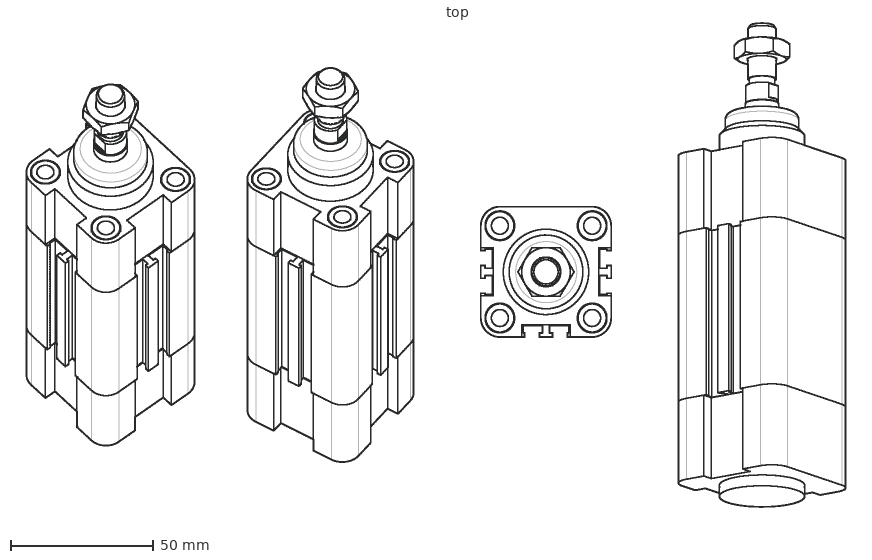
import cadquery as cq
import math


overall_height = 171.0
spigot_height = 4.0
rear_cap_top = 33.3
barrel_top = 94.0
front_cap_top = 123.0
cone_bottom = 131.0
cone_top = 133.2
collar_top = 139.0
rod_step = 142.6
flats_bottom = 143.8
rod_shoulder = 149.1
thread_bottom = 151.7
nut_bottom = 158.9

section_side = 46.0
corner_radius = 6.8

boss_diameter = 30.1
neck_diameter = 26.0
neck_fillet = 2.2
cap_channel_width = 17.0
cap_channel_depth = 4.5

hole_spacing = 32.5
hole_diameter = 6.0
hole_depth = 17.1
drill_point_angle = 118.0
groove_outer_diameter = 10.5
groove_inner_diameter = 10.0
groove_depth = 1.7

slot_width = 15.9
slot_depth = 4.1
slot_opening = 15.0
lip_thickness = 1.5
rib_web_width = 2.5
rib_head_width = 4.6

rod_diameter = 12.0
flatted_diameter = 11.5
flats_width = 10.0
undercut_diameter = 9.0
thread_diameter = 10.0
thread_tip_diameter = 8.5
thread_chamfer_length = 1.11
nut_height = 6.0
nut_width = 17.1
nut_bore = 10.5
hexagon_sides = 6
nut_chamfer_angle = 30.0

slotted_side_angles = (-90, 0, 90)


def disc(diameter, bottom, top):
    """Cylinder on the Z axis between two levels."""
    return cq.Workplane("XY", origin=(0, 0, bottom)).circle(diameter / 2).extrude(top - bottom)


def revolved(profile):
    """Solid turned about the Z axis from a closed profile of (radius, level) points."""
    return cq.Workplane("XZ").polyline(profile).close().revolve(360, (0, 0, 0), (0, 1, 0))


def square_block(bottom, top):
    """Square prism with rounded upright edges."""
    block = cq.Workplane("XY", origin=(0, 0, bottom)).rect(section_side, section_side)
    return block.extrude(top - bottom).edges("|Z").fillet(corner_radius)


def side_bar(width, outer_depth, inner_depth, bottom, top):
    """Upright bar centred on the -Y side, between two depths below that side."""
    thickness = inner_depth - outer_depth
    middle_y = -section_side / 2 + (outer_depth + inner_depth) / 2
    bar = cq.Workplane("XY", origin=(0, middle_y, bottom)).rect(width, thickness)
    return bar.extrude(top - bottom)


def cut_slotted_sides(body, cutter):
    """Cut the -Y side cutter from each of the three slotted sides."""
    for angle in slotted_side_angles:
        body = body.cut(cutter.rotate((0, 0, 0), (0, 0, 1), angle))
    return body


def make_cap_block(bottom, top):
    """Square cap block with a plain channel along each slotted side."""
    channel = side_bar(cap_channel_width, 0, cap_channel_depth, bottom, top)
    return cut_slotted_sides(square_block(bottom, top), channel)


def make_mounting_hole():
    """Blind drilled hole and the narrow ring groove around it, both opening upward at Z = 0."""
    hole_radius = hole_diameter / 2
    point_length = hole_radius / math.tan(math.radians(drill_point_angle / 2))
    hole = revolved([
        (0, 0),
        (hole_radius, 0),
        (hole_radius, -hole_depth),
        (0, -hole_depth - point_length),
    ])
    groove_core = disc(groove_inner_diameter, -groove_depth, 0)
    groove = disc(groove_outer_diameter, -groove_depth, 0).cut(groove_core)
    return hole.add(groove).combine()


def make_front_cap():
    """Cap block carrying the stepped rod collar, with four mounting holes."""
    collar_radius = boss_diameter / 2
    neck_radius = neck_diameter / 2
    collar = revolved([
        (0, front_cap_top),
        (collar_radius, front_cap_top),
        (collar_radius, cone_bottom),
        (neck_radius, cone_top),
        (neck_radius, collar_top),
        (0, collar_top),
    ]).faces(">Z").edges().fillet(neck_fillet)
    cap = make_cap_block(barrel_top, front_cap_top).union(collar)
    hole = make_mounting_hole()
    for x in (-hole_spacing / 2, hole_spacing / 2):
        for y in (-hole_spacing / 2, hole_spacing / 2):
            cap = cap.cut(hole.translate((x, y, front_cap_top)))
    return cap


def make_barrel():
    """Square middle section with a lipped slot and a T-shaped rib on each slotted side."""
    opening = side_bar(slot_opening, 0, lip_thickness, rear_cap_top, barrel_top)
    chamber = side_bar(slot_width, lip_thickness, slot_depth, rear_cap_top, barrel_top)
    rib_head = side_bar(rib_head_width, 0, lip_thickness, rear_cap_top, barrel_top)
    rib_web = side_bar(rib_web_width, lip_thickness, slot_depth, rear_cap_top, barrel_top)
    slot = opening.union(chamber).cut(rib_head).cut(rib_web)
    return cut_slotted_sides(square_block(rear_cap_top, barrel_top), slot)


def make_rear_cap():
    """Cap block standing on the rear spigot."""
    return make_cap_block(spigot_height, rear_cap_top).union(disc(boss_diameter, 0, spigot_height))


def make_rod():
    """Rod end standing on the collar: wrench flats, undercut and chamfered thread."""
    rod_radius = rod_diameter / 2
    flatted_radius = flatted_diameter / 2
    thread_radius = thread_diameter / 2
    rod = revolved([
        (0, collar_top),
        (rod_radius, collar_top),
        (rod_radius, rod_step),
        (flatted_radius, rod_step + rod_radius - flatted_radius),
        (flatted_radius, rod_shoulder),
        (undercut_diameter / 2, rod_shoulder),
        (undercut_diameter / 2, thread_bottom),
        (thread_radius, thread_bottom),
        (thread_radius, overall_height - thread_chamfer_length),
        (thread_tip_diameter / 2, overall_height),
        (0, overall_height),
    ])
    flats_cutter = (
        cq.Workplane("XY", origin=(0, 0, flats_bottom))
        .rect(rod_diameter, rod_diameter)
        .rect(rod_diameter, flats_width)
        .extrude(rod_shoulder - flats_bottom)
    )
    return rod.cut(flats_cutter)


def make_nut():
    """Hexagon nut with flats facing -Y and +Y and its corners chamfered at both ends."""
    flat_radius = nut_width / 2
    hexagon_radius = flat_radius / math.cos(math.pi / hexagon_sides)
    corner_drop = (hexagon_radius - flat_radius) * math.tan(math.radians(nut_chamfer_angle))
    nut_top = nut_bottom + nut_height
    envelope = revolved([
        (0, nut_bottom),
        (flat_radius, nut_bottom),
        (hexagon_radius, nut_bottom + corner_drop),
        (hexagon_radius, nut_top - corner_drop),
        (flat_radius, nut_top),
        (0, nut_top),
    ])
    hexagon = cq.Workplane("XY", origin=(0, 0, nut_bottom)).polygon(hexagon_sides, 2 * hexagon_radius)
    bore = disc(nut_bore, nut_bottom, nut_top)
    return hexagon.extrude(nut_height).intersect(envelope).cut(bore)


front_cap = make_front_cap()
barrel = make_barrel()
rear_cap = make_rear_cap()
rod = make_rod()
nut = make_nut()

result = cq.Compound.makeCompound([
    front_cap.val(),
    barrel.val(),
    rear_cap.val(),
    rod.val(),
    nut.val(),
])